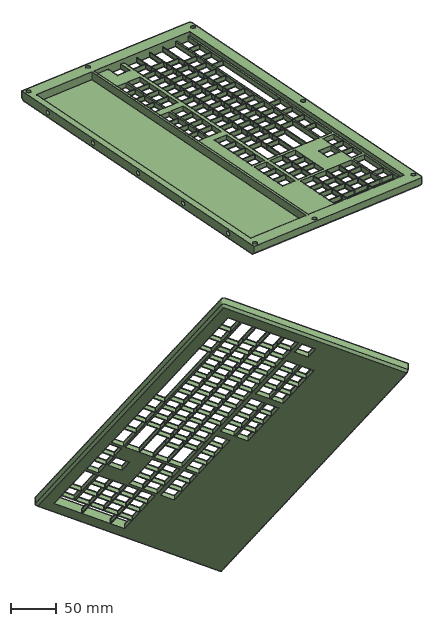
import cadquery as cq

case_length = 411.0
case_depth = 234.0
case_height = 11.5
underside_chamfer = 3.0
corner_radius = 3.1

recess_length = 379.0
rear_rim = 13.5
front_rim = 8.0
bar_width = 3.0
palm_recess_depth = 77.0
palm_floor_height = 1.5
plate_height = 6.0

web = 1.0
group_gap = 4.0
narrow_row_trim = 2.0
row_gap = 2.5
main_rows = 4
quad_keys = 4
function_quad_starts = (2, 6.5, 11)
extra_quad_starts = (2, 6.5)
main_rows_depth = 71.0
modifier_pitch = 21.0
modifiers_per_side = 3
space_bar_pitch = 101.0

screw_diameter = 5.5
screw_depth = 4.0
front_screw_pitch = 79.7
front_screw_count = 5
rear_screw_inset = 10.5
rear_screw_y_inset = 5.0
side_screw_inset = 5.5

rear_y = case_depth / 2
front_y = -case_depth / 2
recess_left = -recess_length / 2
recess_rear = rear_y - rear_rim
palm_front = front_y + front_rim
palm_rear = palm_front + palm_recess_depth
recess_front = palm_rear + bar_width

main_keys, nav_keys, pad_keys = 15, 3, 4
key_pitch = (recess_length + 3 * web - 2 * group_gap) / (main_keys + nav_keys + pad_keys)
main_left = recess_left
nav_left = main_left + main_keys * key_pitch - web + group_gap
pad_left = nav_left + nav_keys * key_pitch - web + group_gap

row_pitch = (main_rows_depth + web) / main_rows
row_depth = row_pitch - web
narrow_row_depth = row_depth - narrow_row_trim
space_rear = recess_rear - row_gap
shift_rear = space_rear - narrow_row_depth - row_gap
caps_rear = shift_rear - row_pitch
tab_rear = caps_rear - row_pitch
digit_rear = tab_rear - row_pitch
extra_rear = recess_front + row_gap + narrow_row_depth
function_rear = extra_rear + row_gap + row_depth


def block(left, rear, length, depth, bottom, top):
    """Box given by its left and rear edges and its two levels."""
    return (
        cq.Workplane("XY", origin=(left, rear - depth, bottom))
        .box(length, depth, top - bottom, centered=False)
    )


def opening(left, rear, length, depth):
    return block(left, rear, length, depth, 0, case_height)


def key_row(left, rear, depth, pitches):
    """Openings side by side, each one web narrower than its pitch."""
    keys = []
    for pitch in pitches:
        keys.append(opening(left, rear, pitch - web, depth))
        left += pitch
    return keys


def unit_row(left, rear, depth, units):
    """Row of openings with widths counted in key pitches."""
    return key_row(left, rear, depth, [count * key_pitch for count in units])


def main_group():
    modifiers = [modifier_pitch] * modifiers_per_side
    space_row = modifiers + [space_bar_pitch] + modifiers
    last_key = main_keys * key_pitch - sum(space_row)
    keys = key_row(main_left, space_rear, narrow_row_depth, space_row + [last_key])
    keys += unit_row(main_left, shift_rear, row_depth, [2.25] + [1] * 10 + [2.75])
    keys += unit_row(main_left, caps_rear, row_depth, [1.75] + [1] * 11 + [2.25])
    keys += unit_row(main_left, tab_rear, row_depth, [1.5] + [1] * 12 + [1.5])
    keys += unit_row(main_left, digit_rear, row_depth, [1] * 13 + [2])
    keys += unit_row(main_left, function_rear, row_depth, [1])
    for start in function_quad_starts:
        left = main_left + start * key_pitch
        keys += unit_row(left, function_rear, row_depth, [1] * quad_keys)
    for start in extra_quad_starts:
        left = main_left + start * key_pitch
        keys += unit_row(left, extra_rear, narrow_row_depth, [1] * quad_keys)
    return keys


def navigation_group():
    keys = unit_row(nav_left, space_rear, narrow_row_depth, [1] * nav_keys)
    keys += unit_row(nav_left + key_pitch, shift_rear, row_depth, [1])
    for rear in (tab_rear, digit_rear, function_rear):
        keys += unit_row(nav_left, rear, row_depth, [1] * nav_keys)
    return keys


def number_group():
    short_row_keys = pad_keys - 1
    keys = unit_row(pad_left, space_rear, narrow_row_depth, [2, 1])
    for rear in (shift_rear, caps_rear, tab_rear):
        keys += unit_row(pad_left, rear, row_depth, [1] * short_row_keys)
    keys += unit_row(pad_left, digit_rear, row_depth, [1] * pad_keys)
    tall_left = pad_left + short_row_keys * key_pitch
    enter_depth = space_rear - shift_rear + row_depth
    keys += unit_row(tall_left, space_rear, enter_depth, [1])
    keys += unit_row(tall_left, caps_rear, row_pitch + row_depth, [1])
    return keys


def case_body():
    body = cq.Workplane("XY").box(case_length, case_depth, case_height, centered=(True, True, False))
    body = body.edges("|Z and >Y").fillet(corner_radius)
    return body.faces("<Z").edges("not <Y").chamfer(underside_chamfer)


def recesses():
    key_recess = block(
        recess_left, recess_rear, recess_length, recess_rear - recess_front, plate_height, case_height
    )
    palm_recess = block(
        recess_left, palm_rear, recess_length, palm_recess_depth, palm_floor_height, case_height
    )
    return [key_recess, palm_recess]


def screw_holes():
    rear_x = case_length / 2 - rear_screw_inset
    side_x = case_length / 2 - side_screw_inset
    rear_screw_y = rear_y - rear_screw_y_inset
    top_points = [(x, rear_screw_y) for x in (-rear_x, 0, rear_x)]
    for y in (front_y + side_screw_inset, recess_front):
        top_points += [(-side_x, y), (side_x, y)]
    top_holes = (
        cq.Workplane("XY", origin=(0, 0, case_height))
        .pushPoints(top_points)
        .circle(screw_diameter / 2)
        .extrude(-screw_depth)
    )
    front_holes = (
        cq.Workplane("XZ", origin=(0, front_y, case_height / 2))
        .rarray(front_screw_pitch, 4, front_screw_count, 1)
        .circle(screw_diameter / 2)
        .extrude(-screw_depth)
    )
    return [top_holes, front_holes]


cutters = recesses() + main_group() + navigation_group() + number_group() + screw_holes()
solids = [solid for cutter in cutters for solid in cutter.solids().vals()]
result = cq.Workplane("XY").newObject([case_body().val().cut(*solids)])